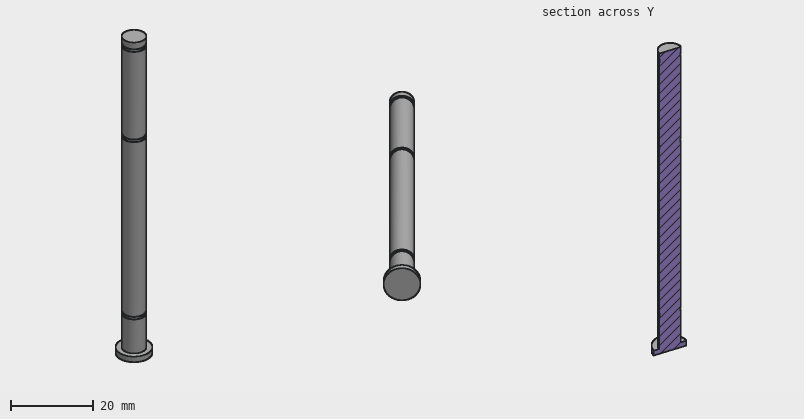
import cadquery as cq

total_length = 89.75
head_diameter = 9.0
head_thickness = 1.6
shank_diameter = 6.0

groove_diameter = 5.7
groove_width = 0.7
end_land = 2.0
lower_groove_base = 11.2
middle_groove_base = 61.5
top_groove_base = total_length - end_land - groove_width


def cylinder(diameter, base, height):
    """Solid cylinder on the pin axis, starting at the given height."""
    return cq.Workplane("XY").workplane(offset=base).circle(diameter / 2).extrude(height)


def groove_ring(base):
    """Ring of material to remove for one groove."""
    outer = cylinder(head_diameter, base, groove_width)
    return outer.cut(cylinder(groove_diameter, base, groove_width))


head = cylinder(head_diameter, 0, head_thickness)
shank = cylinder(shank_diameter, 0, total_length)
result = head.union(shank)

for groove_base in (lower_groove_base, middle_groove_base, top_groove_base):
    result = result.cut(groove_ring(groove_base))

result = result.translate((0, 0, -total_length / 2))